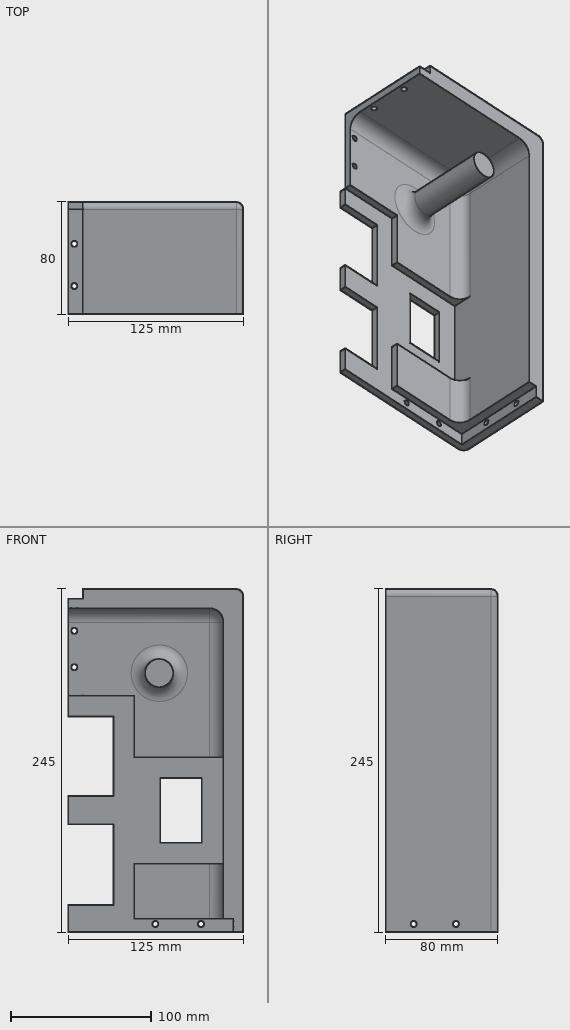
import cadquery as cq

WIDTH = 125.0
DEPTH = 80.0
HEIGHT = 245.0

TOP_WALL = 13.7
SIDE_WALL = 14.2
PLATE = 5.1
PAD_FACE = 10.3
OUTER_RADIUS = 5.1
INNER_RADIUS = 10.0

LEFT_RABBET_WIDTH = 10.5
TOP_RABBET_DEPTH = 6.9
BOTTOM_RABBET_HEIGHT = 9.8
BOTTOM_LIP = 7.0

PAD_LEFT = 47.3
UPPER_PAD_BOTTOM = 125.0
UPPER_PAD_STEP = 168.8
LOWER_PAD_TOP = 49.0

NOTCH_DEPTH = 32.3
NOTCH_SPANS = [(19.5, 77.0), (97.3, 153.9)]
WINDOW_X = (66.0, 95.3)
WINDOW_Z = (64.0, 110.0)

PIN_X = 65.0
PIN_Z = 185.0
PIN_DIAMETER = 20.0

HOLE_DIAMETER = 4.2
LEFT_HOLE_X = 4.5
BOTTOM_HOLE_Z = 6.0
LEFT_HOLE_HEIGHTS = [189.1, 215.0]
BOTTOM_HOLE_X = [62.2, 94.8]
WALL_HOLE_Y = [DEPTH - 30.0, DEPTH - 60.0]

INNER_X = WIDTH - SIDE_WALL
INNER_Z = HEIGHT - TOP_WALL
PAD_Y = DEPTH - PAD_FACE
PLATE_Y = DEPTH - PLATE


def block(x_span, y_span, z_span):
    """Axis-aligned box between the given limits."""
    spans = (x_span, y_span, z_span)
    sizes = [end - start for start, end in spans]
    corner = tuple(start for start, end in spans)
    return cq.Workplane("XY").box(*sizes, centered=False).translate(corner)


def drill(start, direction, length):
    """Screw-hole cutter."""
    return cq.Workplane(cq.Solid.makeCylinder(
        HOLE_DIAMETER / 2, length, cq.Vector(*start), cq.Vector(*direction)))


def shell():
    """Three walls with rounded outer edges and a filleted inner corner."""
    body = block((0, WIDTH), (0, DEPTH), (0, HEIGHT))
    body = body.edges("(>X and >Y) or (>X and >Z) or (>Y and >Z)").fillet(OUTER_RADIUS)
    cavity = block((0, INNER_X), (0, PAD_Y), (0, INNER_Z))
    cavity = cavity.edges("(>X and >Y) or (>X and >Z) or (>Y and >Z)").fillet(INNER_RADIUS)
    return body.cut(cavity)


def pad_clearance():
    """Space around the pads, down to the thin back plate."""
    y_span = (0, PLATE_Y)
    lower_left = block((0, PAD_LEFT), y_span, (0, UPPER_PAD_STEP))
    between_pads = block((0, INNER_X), y_span, (LOWER_PAD_TOP, UPPER_PAD_BOTTOM))
    bottom_rabbet = block((0, WIDTH - BOTTOM_LIP), y_span, (0, BOTTOM_RABBET_HEIGHT))
    return lower_left.union(between_pads).union(bottom_rabbet)


def left_rabbet():
    """Outer step along the left rim of the top and back walls."""
    x_span = (0, LEFT_RABBET_WIDTH)
    top = block(x_span, (0, DEPTH), (HEIGHT - TOP_RABBET_DEPTH, HEIGHT))
    back = block(x_span, (PLATE_Y, DEPTH), (UPPER_PAD_STEP, HEIGHT))
    return top.union(back)


def pin():
    """Pin level with the front rim, flaring into the back wall."""
    radius = PIN_DIAMETER / 2
    flare_radius = radius + INNER_RADIUS
    flare_start = PAD_Y - INNER_RADIUS
    profile = (
        cq.Workplane("XY")
        .lineTo(radius, 0)
        .lineTo(radius, flare_start)
        .radiusArc((flare_radius, PAD_Y), INNER_RADIUS)
        .lineTo(flare_radius, PLATE_Y)
        .lineTo(0, PLATE_Y)
        .close()
    )
    return profile.revolve(360, (0, 0), (0, 1)).translate((PIN_X, 0, PIN_Z))


result = shell().cut(pad_clearance()).cut(left_rabbet()).union(pin())

for z_span in NOTCH_SPANS:
    result = result.cut(block((0, NOTCH_DEPTH), (0, DEPTH), z_span))
result = result.cut(block(WINDOW_X, (0, DEPTH), WINDOW_Z))

for z in LEFT_HOLE_HEIGHTS:
    result = result.cut(drill((LEFT_HOLE_X, 0, z), (0, 1, 0), DEPTH))
for x in BOTTOM_HOLE_X:
    result = result.cut(drill((x, 0, BOTTOM_HOLE_Z), (0, 1, 0), DEPTH))

for y in WALL_HOLE_Y:
    result = result.cut(drill((LEFT_HOLE_X, y, INNER_Z - INNER_RADIUS), (0, 0, 1), HEIGHT))
    result = result.cut(drill((INNER_X, y, BOTTOM_HOLE_Z), (1, 0, 0), WIDTH))